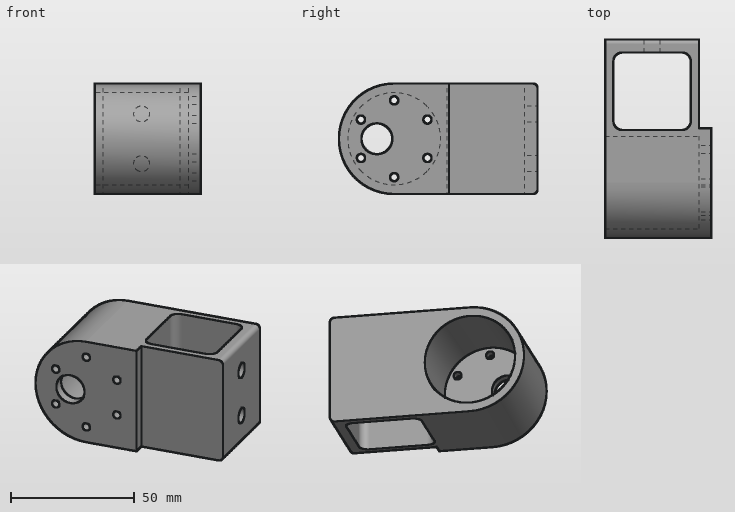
import cadquery as cq

length = 80.4
width = 43.0
height = 44.8
nose_radius = height / 2
end_fillet = 2.0

block_width = 38.0
block_length = 35.9

opening_size = 31.2
opening_corner_radius = 3.5
opening_end_wall = 5.4
end_hole_diameter = 6.4
end_hole_spacing = 20.1

bore_diameter = 37.4
bore_depth = block_width
shaft_hole_diameter = 12.4
shaft_hole_offset = 7.0
screw_hole_diameter = 3.2
screw_circle_radius = 15.5
screw_count = 6

left_x = -width / 2
back_y = length / 2
bore_y = -length / 2 + nose_radius
opening_x = left_x + block_width / 2
opening_y = back_y - opening_end_wall - opening_size / 2


def make_body():
    """Extrude the round-nosed side profile and step in the clamp block."""
    body = (
        cq.Workplane("YZ", origin=(left_x, 0, 0))
        .moveTo(bore_y, nose_radius)
        .lineTo(back_y, nose_radius)
        .lineTo(back_y, -nose_radius)
        .lineTo(bore_y, -nose_radius)
        .threePointArc((-length / 2, 0), (bore_y, nose_radius))
        .close()
        .extrude(width)
        .edges("|X and >Y")
        .fillet(end_fillet)
    )
    step = cq.Workplane("XY").box(
        width - block_width, block_length, height, centered=False
    )
    return body.cut(
        step.translate((left_x + block_width, back_y - block_length, -height / 2))
    )


def make_opening():
    """Rounded square opening through the full height."""
    return (
        cq.Workplane("XY")
        .box(opening_size, opening_size, height)
        .edges("|Z")
        .fillet(opening_corner_radius)
        .translate((opening_x, opening_y, 0))
    )


def make_end_holes():
    """Two holes through the end wall, from the opening to the +Y face."""
    return (
        cq.Workplane("XZ", origin=(opening_x, back_y, 0))
        .pushPoints([(0, end_hole_spacing / 2), (0, -end_hole_spacing / 2)])
        .circle(end_hole_diameter / 2)
        .extrude(opening_end_wall + opening_size / 2)
    )


def make_motor_cuts():
    """Blind motor bore with shaft and screw holes through its floor."""
    housing = cq.Workplane("YZ", origin=(left_x, bore_y, 0))
    bore = housing.circle(bore_diameter / 2).extrude(bore_depth)
    shaft_hole = (
        housing.center(-shaft_hole_offset, 0)
        .circle(shaft_hole_diameter / 2)
        .extrude(width)
    )
    screw_holes = (
        housing.polarArray(screw_circle_radius, 90, 360, screw_count)
        .circle(screw_hole_diameter / 2)
        .extrude(width)
    )
    return bore.union(shaft_hole).union(screw_holes)


result = (
    make_body()
    .cut(make_opening())
    .cut(make_end_holes())
    .cut(make_motor_cuts())
)